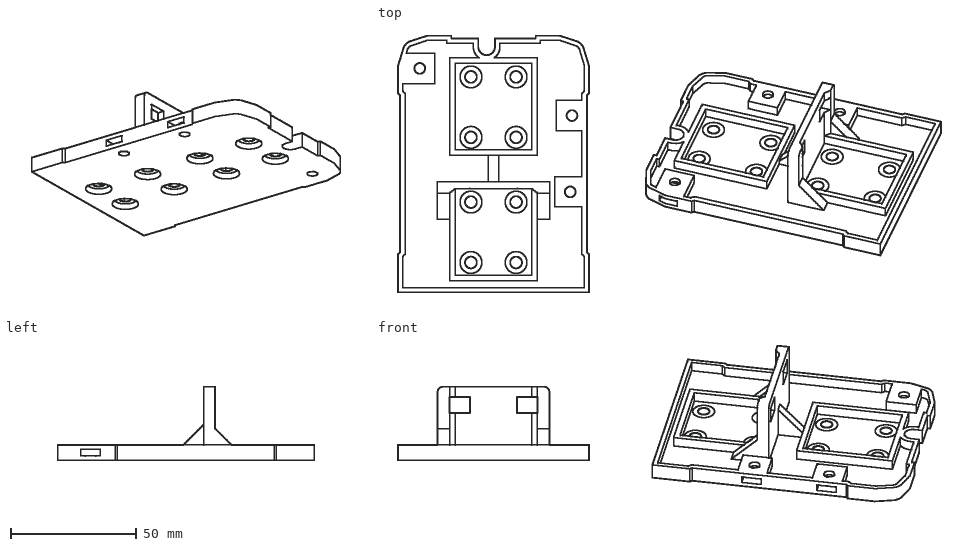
import cadquery as cq
import math

WIDTH = 76.2
LENGTH = 102.42
TRAY_HEIGHT = 6.2
TOTAL_HEIGHT = 29.4
FLOOR = 2.2
HALF_WIDTH = WIDTH / 2

WAIST_INSET = 0.8
WAIST_START_Y = 15.25
WAIST_END_Y = 79.4
CORNER_SIDE_Y = 90.4
CORNER_ARC_SIDE = (35.8, 97.9)
CORNER_ARC_FRONT = (33.6, 100.1)
CORNER_FRONT_X = 26.4
CORNER_BULGE = 0.2
FRONT_STEP_X = 16.8
FRONT_STEP = 1.15

RIM = 1.87
WAIST_RIM = 2.2
CAVITY_ARC_SIDE = (34.3, 96.9)
CAVITY_ARC_FRONT = (33.0, 98.3)

NOTCH_X = -2.74
NOTCH_RADIUS = 3.28
NOTCH_CENTER_Y = 97.95
NOTCH_WALL = 2.05

BAY_WIDTH = 35.0
BAY_LENGTH = 38.9
BAY_WALL = 2.2
BAY_REAR_EDGES = (4.75, 54.65)
BAY_HOLE_DIAMETER = 4.6
BAY_HOLE_SPACING_X = 18.0
BAY_HOLE_SPACING_Y = 24.1
BAY_HOLE_SHIFT_Y = -0.2
BAY_BORE_TOP_DIAMETER = 8.7
BAY_BORE_BOTTOM_DIAMETER = 10.4
BAY_BORE_SKIN = 0.2

TABS = (
    (-1, -23.35, 83.25, 95.45, -29.4, 89.35),
    (1, 25.1, 64.45, 76.65, 31.3, 70.55),
    (1, 24.45, 34.25, 46.05, 30.6, 40.1),
)
TAB_HOLE_DIAMETER = 4.2
NUT_SLOT_WIDTH = 7.8
NUT_SLOT_LOW_Z = 1.8
NUT_SLOT_HIGH_Z = 4.4

PLATE_WIDTH = 44.7
PLATE_FRONT_Y = 44.2
PLATE_THICKNESS = 4.6
PLATE_REAR_Y = PLATE_FRONT_Y - PLATE_THICKNESS
PLATE_CORNER_RADIUS = 2.2
WINDOW_WIDTH = 8.1
WINDOW_LOW_Z = 18.95
WINDOW_HIGH_Z = 25.25
GUSSET_TOP_Z = 12.7
RIB_TOP_Z = 14.3
RIB_WIDTH = 4.0


def box(x_range, y_range, z_range):
    """Box spanning the given X, Y and Z ranges."""
    corners = tuple(zip(x_range, y_range, z_range))
    size = [high - low for low, high in zip(*corners)]
    return cq.Workplane("XY").box(*size, centered=False).translate(corners[0])


def arc_middle(start, end, bulge):
    """Point above the middle of the chord from start to end, on its right-hand side."""
    chord_x = end[0] - start[0]
    chord_y = end[1] - start[1]
    length = math.hypot(chord_x, chord_y)
    return (
        (start[0] + end[0]) / 2 + bulge * chord_y / length,
        (start[1] + end[1]) / 2 - bulge * chord_x / length,
    )


def mirror_x(point):
    return (-point[0], point[1])


def tray_prism(side_points, arc_side, arc_front, front_points, height):
    """Prism from a symmetric outline given by its +X half, rear to front."""
    right_middle = arc_middle(arc_side, arc_front, CORNER_BULGE)
    outline = cq.Workplane("XY").moveTo(*mirror_x(side_points[0]))
    for point in side_points + [arc_side]:
        outline = outline.lineTo(*point)
    outline = outline.threePointArc(right_middle, arc_front)
    for point in front_points:
        outline = outline.lineTo(*point)
    for point in reversed(front_points):
        outline = outline.lineTo(*mirror_x(point))
    outline = outline.lineTo(*mirror_x(arc_front))
    outline = outline.threePointArc(mirror_x(right_middle), mirror_x(arc_side))
    for point in reversed(side_points[1:]):
        outline = outline.lineTo(*mirror_x(point))
    return outline.close().extrude(height)


def tray_body():
    waist_x = HALF_WIDTH - WAIST_INSET
    side = [
        (HALF_WIDTH, 0),
        (HALF_WIDTH, WAIST_START_Y),
        (waist_x, WAIST_START_Y + WAIST_INSET),
        (waist_x, WAIST_END_Y - WAIST_INSET),
        (HALF_WIDTH, WAIST_END_Y),
        (HALF_WIDTH, CORNER_SIDE_Y),
    ]
    front = [
        (CORNER_FRONT_X, LENGTH),
        (FRONT_STEP_X, LENGTH),
        (FRONT_STEP_X, LENGTH - FRONT_STEP),
    ]
    return tray_prism(side, CORNER_ARC_SIDE, CORNER_ARC_FRONT, front, TRAY_HEIGHT)


def tray_cavity():
    """Space inside the rim, above the floor."""
    wide_x = HALF_WIDTH - RIM
    waist_x = HALF_WIDTH - WAIST_INSET - WAIST_RIM
    slope = wide_x - waist_x
    waist_start = WAIST_START_Y - RIM / 2
    waist_end = WAIST_END_Y + RIM / 2
    front_y = LENGTH - RIM
    step_x = FRONT_STEP_X + RIM
    side = [
        (wide_x, RIM),
        (wide_x, waist_start),
        (waist_x, waist_start + slope),
        (waist_x, waist_end - slope),
        (wide_x, waist_end),
        (wide_x, CORNER_SIDE_Y),
    ]
    front = [
        (CORNER_FRONT_X, front_y),
        (step_x, front_y),
        (step_x, front_y - FRONT_STEP),
    ]
    cavity = tray_prism(side, CAVITY_ARC_SIDE, CAVITY_ARC_FRONT, front, TRAY_HEIGHT)
    return cavity.translate((0, 0, FLOOR))


def u_shape(radius):
    """Upright U at the notch, open toward the front edge."""
    front_y = LENGTH - FRONT_STEP
    round_end = cq.Workplane("XY").center(NOTCH_X, NOTCH_CENTER_Y).circle(radius).extrude(TRAY_HEIGHT)
    x_range = (NOTCH_X - radius, NOTCH_X + radius)
    arms = box(x_range, (NOTCH_CENTER_Y, front_y), (0, TRAY_HEIGHT))
    return round_end.union(arms).intersect(tray_body())


def bay_interior(rear_y):
    """Space inside the walls of one bay, above the floor."""
    half = BAY_WIDTH / 2 - BAY_WALL
    y_range = (rear_y + BAY_WALL, rear_y + BAY_LENGTH - BAY_WALL)
    return box((-half, half), y_range, (FLOOR, TRAY_HEIGHT))


def bay_walls(rear_y):
    half = BAY_WIDTH / 2
    return box((-half, half), (rear_y, rear_y + BAY_LENGTH), (0, TRAY_HEIGHT))


def bay_holes(rear_y):
    center_y = rear_y + BAY_LENGTH / 2 + BAY_HOLE_SHIFT_Y
    pattern = (
        cq.Workplane("XY").center(0, center_y)
        .rarray(BAY_HOLE_SPACING_X, BAY_HOLE_SPACING_Y, 2, 2)
    )
    holes = pattern.circle(BAY_HOLE_DIAMETER / 2).extrude(FLOOR)
    bore_depth = FLOOR - BAY_BORE_SKIN
    flare = (BAY_BORE_BOTTOM_DIAMETER - BAY_BORE_TOP_DIAMETER) / 2
    taper = math.degrees(math.atan(flare / bore_depth))
    bores = pattern.circle(BAY_BORE_BOTTOM_DIAMETER / 2).extrude(bore_depth, taper=taper)
    return holes.union(bores)


def tab_block(side, inner_x, low_y, high_y):
    """Full-height block reaching from the rim to inner_x."""
    block = box(sorted((inner_x, side * HALF_WIDTH)), (low_y, high_y), (0, TRAY_HEIGHT))
    return block.intersect(tray_body())


def tab_cutout(side, hole_x, hole_y):
    """Screw hole with a nut slot that opens on the outer side."""
    half_slot = NUT_SLOT_WIDTH / 2
    x_range = sorted((side * HALF_WIDTH, hole_x - side * half_slot))
    y_range = (hole_y - half_slot, hole_y + half_slot)
    slot = box(x_range, y_range, (NUT_SLOT_LOW_Z, NUT_SLOT_HIGH_Z))
    hole = cq.Workplane("XY").center(hole_x, hole_y).circle(TAB_HOLE_DIAMETER / 2).extrude(TRAY_HEIGHT)
    return slot.union(hole)


def side_profile(points, x_start, width):
    """Extrude a (Y, Z) profile along +X."""
    return cq.Workplane("YZ").polyline(points).close().extrude(width).translate((x_start, 0, 0))


def upright_plate():
    half = PLATE_WIDTH / 2
    plate = box((-half, half), (PLATE_REAR_Y, PLATE_FRONT_Y), (0, TOTAL_HEIGHT))
    plate = plate.edges("|Y and >Z").fillet(PLATE_CORNER_RADIUS)
    gusset_reach = GUSSET_TOP_Z - FLOOR
    gusset = [
        (PLATE_REAR_Y, FLOOR),
        (PLATE_REAR_Y - gusset_reach, FLOOR),
        (PLATE_REAR_Y, GUSSET_TOP_Z),
    ]
    gusset_width = (PLATE_WIDTH - BAY_WIDTH) / 2
    for x_start in (-half, BAY_WIDTH / 2):
        plate = plate.union(side_profile(gusset, x_start, gusset_width))
    rib_reach = RIB_TOP_Z - FLOOR
    rib = [
        (PLATE_FRONT_Y, FLOOR),
        (PLATE_FRONT_Y + rib_reach, FLOOR),
        (PLATE_FRONT_Y, RIB_TOP_Z),
    ]
    return plate.union(side_profile(rib, -RIB_WIDTH / 2, RIB_WIDTH))


def plate_recess():
    """Flared continuation of the rear bay up through the plate's rear face."""
    half_outer = BAY_WIDTH / 2
    half_inner = half_outer - BAY_WALL
    deep_y = BAY_REAR_EDGES[0] + BAY_LENGTH - BAY_WALL
    flare = [
        (-half_outer, PLATE_REAR_Y),
        (half_outer, PLATE_REAR_Y),
        (half_inner, deep_y),
        (-half_inner, deep_y),
    ]
    height = TOTAL_HEIGHT - TRAY_HEIGHT
    return cq.Workplane("XY").workplane(offset=TRAY_HEIGHT).polyline(flare).close().extrude(height)


def plate_window(side):
    outer_x = side * BAY_WIDTH / 2
    x_range = sorted((outer_x, outer_x - side * WINDOW_WIDTH))
    return box(x_range, (PLATE_REAR_Y, PLATE_FRONT_Y), (WINDOW_LOW_Z, WINDOW_HIGH_Z))


result = tray_body().cut(tray_cavity())
result = result.union(u_shape(NOTCH_RADIUS + NOTCH_WALL))
for rear_edge in BAY_REAR_EDGES:
    result = result.union(bay_walls(rear_edge))
result = result.union(upright_plate())

for rear_edge in BAY_REAR_EDGES:
    result = result.cut(bay_interior(rear_edge))
    result = result.cut(bay_holes(rear_edge))
result = result.cut(plate_recess())
for window_side in (-1, 1):
    result = result.cut(plate_window(window_side))
result = result.cut(u_shape(NOTCH_RADIUS))

for tab_side, tab_inner_x, tab_low_y, tab_high_y, tab_hole_x, tab_hole_y in TABS:
    result = result.union(tab_block(tab_side, tab_inner_x, tab_low_y, tab_high_y))
    result = result.cut(tab_cutout(tab_side, tab_hole_x, tab_hole_y))